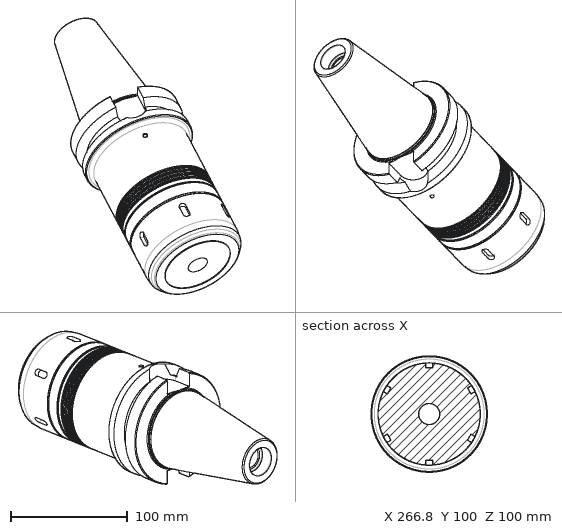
import cadquery as cq


taper_length = 101.5
taper_big_radius = 35.0
taper_ratio = 7 / 24
taper_small_radius = taper_big_radius - taper_length * taper_ratio / 2
shank_end_chamfer = 1.0
relief_radius = 34.5
relief_start = 102.2
relief_end = 103.8
collar_radius = 35.5

flange_front = 104.9
flange_back = 139.3
front_land_radius = 50.0
back_land_radius = 50.02
front_land_end = 117.7
gripper_floor_radius = 41.5
gripper_floor_start = 121.7
gripper_floor_end = 128.0
back_land_start = 132.0
edge_chamfer = 0.8
collar_fillet = 0.8
back_fillet = 3.2

keyway_width = 25.5
keyway_floor = 35.5
keyway_end = 135.5

body_radius = 44.0
grip_groove_count = 4
grip_groove_first = 193.0
grip_groove_pitch = 4.0
grip_groove_width = 2.7
grip_groove_floor_width = 1.0
grip_groove_depth = 0.5
joint_position = 210.0
joint_width = 1.3
joint_depth = 0.5
nut_gap_position = 222.8
nut_gap_width = 1.5
nut_gap_depth = 0.3

nut_crown_start = 254.0
nut_chamfer_start = 260.5
nut_chamfer_radius = 43.2
nut_bend = 262.8
nut_bend_radius = 41.5
nut_chamfer_end = 265.2
nut_tip_radius = 39.8
nut_face = 266.0
nut_face_radius = 38.7
nose_disc_radius = 30.5
overall_length = 266.8

spanner_slot_count = 6
spanner_slot_position = 238.0
spanner_slot_length = 14.5
spanner_slot_width = 6.0
spanner_slot_depth = 4.3

cross_hole_position = 152.0
cross_hole_diameter = 3.5
cross_hole_mouth_diameter = 4.0
cross_hole_mouth_depth = 1.3

bore_mouth_diameter = 25.3
bore_mouth_chamfer = 0.8
pilot_diameter = 25.0
pilot_depth = 11.2
bore_seat_diameter = 24.0
bore_seat_start = 11.7
step_diameter = 21.3
step_depth = 12.8
through_diameter = 18.0


def revolved(points):
    """Solid of revolution about X from (position, radius) outline points."""
    return cq.Workplane("XY").polyline(points).close().revolve(360, (0, 0, 0), (1, 0, 0))


def ring_cut(rim_start, rim_end, floor_start, floor_end, depth):
    """Ring groove in the body, with flat or sloping walls between its rim and its floor."""
    floor_radius = body_radius - depth
    return revolved([
        (rim_start, body_radius),
        (floor_start, floor_radius),
        (floor_end, floor_radius),
        (rim_end, body_radius),
    ])


def grip_groove(centre):
    half_rim = grip_groove_width / 2
    half_floor = grip_groove_floor_width / 2
    return ring_cut(
        centre - half_rim, centre + half_rim, centre - half_floor, centre + half_floor, grip_groove_depth
    )


def joint_groove():
    """Body joint: a square step down, then a slope back up to the full radius."""
    floor_radius = body_radius - joint_depth
    return revolved([
        (joint_position, body_radius),
        (joint_position, floor_radius),
        (joint_position + joint_width, body_radius),
    ])


def nut_gap():
    start = nut_gap_position - nut_gap_width / 2
    end = start + nut_gap_width
    return ring_cut(start, end, start, end, nut_gap_depth)


def outer_solid():
    outline = (
        cq.Workplane("XY")
        .lineTo(0, taper_small_radius - shank_end_chamfer)
        .lineTo(shank_end_chamfer, taper_small_radius + shank_end_chamfer * taper_ratio / 2)
        .lineTo(taper_length, taper_big_radius)
        .lineTo(relief_start, relief_radius)
        .lineTo(relief_end, relief_radius)
        .lineTo(relief_end, collar_radius)
        .lineTo(flange_front - collar_fillet, collar_radius)
        .tangentArcPoint((collar_fillet, collar_fillet))
        .lineTo(flange_front, front_land_radius - edge_chamfer)
        .lineTo(flange_front + edge_chamfer, front_land_radius)
        .lineTo(front_land_end, front_land_radius)
        .lineTo(gripper_floor_start, gripper_floor_radius)
        .lineTo(gripper_floor_end, gripper_floor_radius)
        .lineTo(back_land_start, back_land_radius)
        .lineTo(flange_back - edge_chamfer, back_land_radius)
        .lineTo(flange_back, back_land_radius - edge_chamfer)
        .lineTo(flange_back, body_radius + back_fillet)
        .tangentArcPoint((back_fillet, -back_fillet))
        .lineTo(nut_crown_start, body_radius)
        .lineTo(nut_chamfer_start, nut_chamfer_radius)
        .lineTo(nut_bend, nut_bend_radius)
        .lineTo(nut_chamfer_end, nut_tip_radius)
        .lineTo(nut_face, nut_face_radius)
        .lineTo(nut_face, nose_disc_radius)
        .lineTo(overall_length, nose_disc_radius)
        .lineTo(overall_length, 0)
        .close()
    )
    return outline.revolve(360, (0, 0, 0), (1, 0, 0))


def bore():
    return revolved([
        (0, 0),
        (0, bore_mouth_diameter / 2),
        (bore_mouth_chamfer, pilot_diameter / 2),
        (pilot_depth, pilot_diameter / 2),
        (bore_seat_start, bore_seat_diameter / 2),
        (step_depth, step_diameter / 2),
        (step_depth, through_diameter / 2),
        (overall_length, through_diameter / 2),
        (overall_length, 0),
    ])


def keyway():
    """Round-ended keyway on the +Z side, open towards the shank."""
    round_centre = keyway_end - keyway_width / 2
    height = back_land_radius
    floor = cq.Workplane("XY").workplane(offset=keyway_floor)
    straight = floor.center(round_centre / 2, 0).rect(round_centre, keyway_width).extrude(height)
    rounded = floor.center(round_centre, 0).circle(keyway_width / 2).extrude(height)
    return straight.union(rounded)


def spanner_slot():
    floor = cq.Workplane("XY", origin=(spanner_slot_position, 0, body_radius - spanner_slot_depth))
    return floor.slot2D(spanner_slot_length, spanner_slot_width).extrude(2 * spanner_slot_depth)


def cross_hole():
    start = cq.Workplane("XY", origin=(cross_hole_position, 0, 0))
    hole = start.circle(cross_hole_diameter / 2).extrude(body_radius, both=True)
    mouth = start.workplane(offset=body_radius - cross_hole_mouth_depth)
    return hole.union(mouth.circle(cross_hole_mouth_diameter / 2).extrude(body_radius))


def spun(shape, angle):
    return shape.rotate((0, 0, 0), (1, 0, 0), angle)


result = outer_solid().cut(bore())
for angle in (0, 180):
    result = result.cut(spun(keyway(), angle))
for index in range(grip_groove_count):
    result = result.cut(grip_groove(grip_groove_first + index * grip_groove_pitch))
result = result.cut(joint_groove())
result = result.cut(nut_gap())
for index in range(spanner_slot_count):
    result = result.cut(spun(spanner_slot(), index * 360 / spanner_slot_count))
result = result.cut(cross_hole())